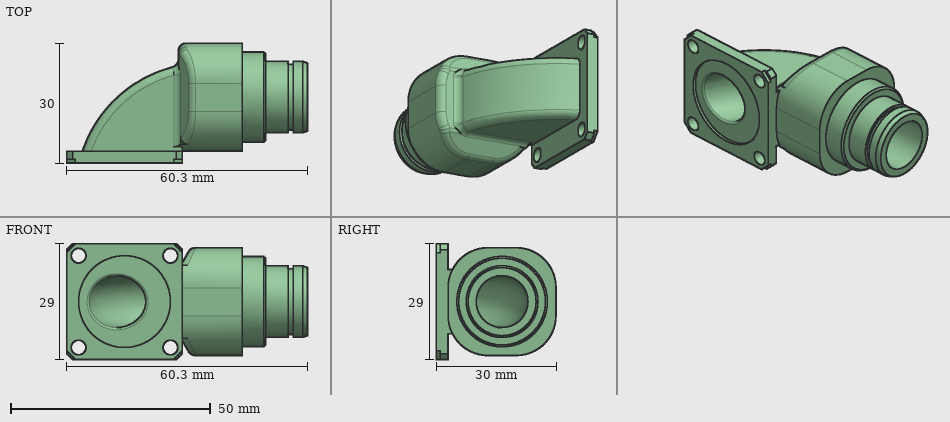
import cadquery as cq
import math


flange_side = 29.0
flange_thickness = 3.0
corner_chamfer = 1.5
step_chamfer = 2.25
step_depth = 1.0
screw_spacing = 23.0
screw_diameter = 3.6
recess_diameter = 23.0
recess_depth = 0.85

total_length = 60.3
total_depth = 30.0
spigot_end_x = total_length - flange_side / 2

body_side = 27.0
body_corner_radius = 10.0
body_front_x = 13.45
body_end_x = 29.5
ridge_half_width = 8.1
body_ridge_radius = 2.0
roof_angle = 30.0
axis_y = total_depth - body_side / 2

bend_radius = 24.0
bend_center_x = 20.3
bend_center_y = axis_y - bend_radius
elbow_radius = 32.6
elbow_width = 16.1
blend_radius = 2.0
cove_radius = 2.0
root_ridge_radius = 4.8
root_margin = 1.1
root_depth = 3.6

bore_diameter = 12.95
mouth_radius = 0.55

collar_end_x = 35.3
collar_diameter = 22.7
collar_chamfer = 0.5
pipe_diameter = 17.95
groove_diameter = 16.5
groove_start_x = 40.95
groove_end_x = 42.2
lead_in_length = 1.25
lead_in_depth = 0.5


def chamfered_plate(chamfer, start_y, end_y):
    """Square plate between two Y levels with all four corners cut off."""
    plate = cq.Workplane("XY").box(flange_side, end_y - start_y, flange_side)
    return plate.edges("|Y").chamfer(chamfer).translate((0, (start_y + end_y) / 2, 0))


def make_flange():
    front = chamfered_plate(step_chamfer, 0, step_depth)
    back = chamfered_plate(corner_chamfer, step_depth, flange_thickness)
    return front.union(back)


def make_prism():
    return (
        cq.Workplane("YZ", origin=(body_front_x, axis_y, 0))
        .rect(body_side, body_side)
        .extrude(body_end_x - body_front_x)
        .edges("|X")
        .fillet(body_corner_radius)
    )


def make_blank(ridge_radius):
    """Body before its front rim is rounded: the prism cut to the roof shape."""
    half_side = body_side / 2
    shoulder_x = body_front_x + (half_side - ridge_half_width) * math.tan(math.radians(roof_angle))
    roof = (
        cq.Workplane("XZ", origin=(0, axis_y + half_side, 0))
        .moveTo(body_front_x, -ridge_half_width)
        .lineTo(body_front_x, ridge_half_width)
        .lineTo(shoulder_x, half_side)
        .lineTo(body_end_x, half_side)
        .lineTo(body_end_x, -half_side)
        .lineTo(shoulder_x, -half_side)
        .close()
        .extrude(body_side)
        .faces("<X")
        .edges("|Y")
        .fillet(ridge_radius)
    )
    return make_prism().intersect(roof)


def make_body():
    return make_blank(body_ridge_radius).faces("<X").edges("<Y or >Y").fillet(blend_radius)


def make_elbow():
    """Solid web under the outer bend arc, rounded along the arc."""
    inner_x = flange_side / 2
    base_y = flange_thickness
    start_x = bend_center_x - math.sqrt(elbow_radius**2 - (base_y - bend_center_y) ** 2)
    end_y = bend_center_y + math.sqrt(elbow_radius**2 - (bend_center_x - inner_x) ** 2)
    mid_angle = math.radians(130)
    mid = (
        bend_center_x + elbow_radius * math.cos(mid_angle),
        bend_center_y + elbow_radius * math.sin(mid_angle),
    )
    web = (
        cq.Workplane("XY", origin=(0, 0, -elbow_width / 2))
        .moveTo(start_x, base_y)
        .threePointArc(mid, (inner_x, end_y))
        .lineTo(inner_x, base_y)
        .close()
        .extrude(elbow_width)
    )
    return web.edges("%CIRCLE").fillet(blend_radius)


def make_neck():
    """Elbow with the part of the body front around its root, joined by a cove.

    The rim is left sharp here, so the underside of the body meets the flange squarely.
    """
    joined = make_blank(root_ridge_radius).union(make_elbow())
    seam = cq.selectors.BoxSelector(
        (body_front_x - 0.3, flange_thickness + 0.05, -elbow_width / 2 - 0.05),
        (body_front_x + 0.3, bend_center_y + elbow_radius, elbow_width / 2 + 0.05),
        boundingbox=True,
    )
    coved = joined.edges(seam).fillet(cove_radius)
    neck_length = flange_side / 2 + body_front_x + root_depth
    neck_height = bend_center_y + elbow_radius + root_margin
    neck_width = elbow_width + 2 * root_margin
    limits = cq.Workplane("XY", origin=(-flange_side / 2, 0, 0)).box(
        neck_length, neck_height, neck_width, centered=(False, False, True)
    )
    return coved.intersect(limits)


def make_spigot():
    pipe_radius = pipe_diameter / 2
    groove_radius = groove_diameter / 2
    collar_radius = collar_diameter / 2
    root_x = body_front_x + body_side / 2
    profile = [
        (root_x, 0),
        (root_x, collar_radius),
        (collar_end_x - collar_chamfer, collar_radius),
        (collar_end_x, collar_radius - collar_chamfer),
        (collar_end_x, pipe_radius),
        (groove_start_x, pipe_radius),
        (groove_start_x, groove_radius),
        (groove_end_x, groove_radius),
        (groove_end_x, pipe_radius),
        (spigot_end_x - lead_in_length, pipe_radius),
        (spigot_end_x, pipe_radius - lead_in_depth),
        (spigot_end_x, 0),
    ]
    outline = cq.Workplane("XY", origin=(0, axis_y, 0)).polyline(profile).close()
    return outline.revolve(360, (0, 0, 0), (1, 0, 0))


def make_bore():
    """Curved passage from the flange that runs straight out through the spigot."""
    bend = (
        cq.Workplane("YZ", origin=(bend_center_x, axis_y, 0))
        .circle(bore_diameter / 2)
        .revolve(90, (-bend_radius, 0, 0), (-bend_radius, 1, 0))
    )
    straight = (
        cq.Workplane("YZ", origin=(bend_center_x, axis_y, 0))
        .circle(bore_diameter / 2)
        .extrude(spigot_end_x - bend_center_x)
    )
    return bend.union(straight)


def screw_holes():
    return (
        cq.Workplane("XZ")
        .rect(screw_spacing, screw_spacing, forConstruction=True)
        .vertices()
        .circle(screw_diameter / 2)
        .extrude(-flange_thickness)
    )


def cut_mouth(part):
    """Round recess in the mating face, the bore, and the rounded bore edge."""
    recess = cq.Workplane("XZ").circle(recess_diameter / 2).extrude(-recess_depth)
    bored = part.cut(recess).cut(make_bore())
    mouth = cq.selectors.BoxSelector(
        (-bore_diameter, recess_depth - 0.05, -bore_diameter / 2 - 0.6),
        (bore_diameter, recess_depth + 0.05, bore_diameter / 2 + 0.6),
        boundingbox=True,
    )
    return bored.edges(mouth).fillet(mouth_radius)


solid = make_flange().union(make_body()).union(make_neck()).union(make_spigot()).cut(screw_holes())
result = cut_mouth(solid)